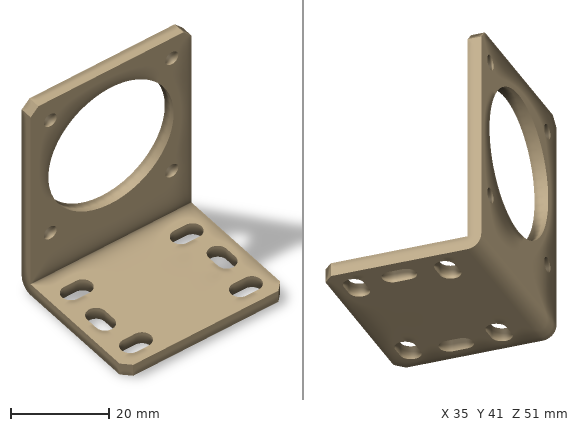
import cadquery as cq

length = 35.0
width = 41.0
height = 51.0
thickness = 3.0
bend_radius = thickness
corner_chamfer = 2.0

bore_diameter = 32.0
bore_height = 30.0
screw_diameter = 3.3
screw_spacing = 31.0

slot_length = 7.5
slot_width = 4.5
slot_pitch = 10.0
cross_slot_offset = 14.0
long_slot_offset = 15.5


def make_body():
    """L-shaped plate with a rounded outer bend and chamfered free corners."""
    base = cq.Workplane("XY").box(length, width, thickness, centered=(False, True, False))
    upright = cq.Workplane("XY").box(thickness, width, height, centered=(False, True, False))
    base = base.edges("|Z and >X").chamfer(corner_chamfer)
    upright = upright.edges("|X and >Z").chamfer(corner_chamfer)
    return base.union(upright).edges("|Y and <X and <Z").fillet(bend_radius)


def make_upright_holes():
    """Central bore and the square pattern of screw holes around it."""
    plane = cq.Workplane("YZ", origin=(0, 0, bore_height))
    bore = plane.circle(bore_diameter / 2).extrude(thickness)
    screws = (
        plane.rarray(screw_spacing, screw_spacing, 2, 2)
        .circle(screw_diameter / 2)
        .extrude(thickness)
    )
    return bore.union(screws)


def make_base_slots():
    """On each side, one slot along X between two slots along Y."""
    middle = cq.Workplane("XY", origin=(2 * slot_pitch, 0, 0))
    cross_slots = (
        middle.rarray(2 * slot_pitch, 2 * cross_slot_offset, 2, 2)
        .slot2D(slot_length, slot_width, 90)
        .extrude(thickness)
    )
    long_slots = (
        middle.rarray(0.5, 2 * long_slot_offset, 1, 2)
        .slot2D(slot_length, slot_width)
        .extrude(thickness)
    )
    return cross_slots.union(long_slots)


result = make_body().cut(make_upright_holes()).cut(make_base_slots())